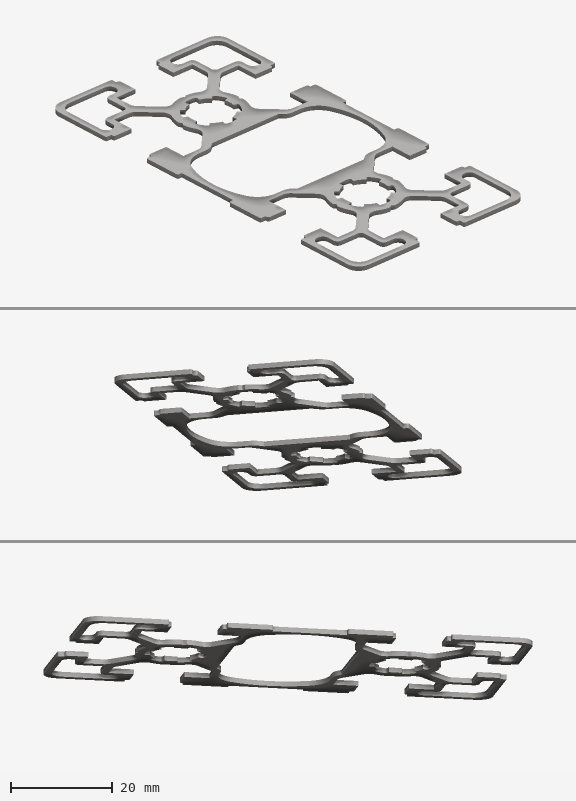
import cadquery as cq
import math

length = 90.0
width = 45.0
thickness = 1.0
outer_corner_radius = 3.0
core_x = 22.5
face = width / 2

lip_half = 5.85
mouth_half = 5.0
lip_step = 1.35
slot_roof = 16.5
slot_half = 10.1
web_offset = 1.7
lip_corner_radius = 0.3
tooth_corner_radius = 0.45
slot_corner_radius = 2.2
flank_root_radius = 2.0

core_radius = 8.0
groove_half = 0.7
groove_depth = 0.45
bore_radius = 6.1
tooth_count = 6
tooth_tip = 5.0
tooth_half_angle = math.radians(15)
bore_corner_radius = 0.4

pocket_outer = 21.1
pocket_arm = 18.0
pocket_inner = 11.6
pocket_tip = 7.6
pocket_outer_radius = 2.7
pocket_tip_radius = 1.4
pocket_arm_radius = 1.1
pocket_inner_radius = 0.9

window_radius = 20.0
window_neck_half = 12.5
window_half = 11.2
window_corner_radius = 5.4
neck_half_height = 8.8
neck_round_radius = 3.5
relief_half = 7.5
relief_depth = 1.1
relief_corner_radius = 0.45


def extrude_outline(points):
    return cq.Workplane("XY").polyline(points).close().extrude(thickness)


def round_corners(body, points, radius):
    """Round the upright edges that stand nearest to the given points."""
    for x, y in points:
        edge = cq.selectors.NearestToPointSelector((x, y, thickness / 2))
        body = body.edges("|Z").edges(edge).fillet(radius)
    return body


def mirror_points(points):
    return points + [(-x, y) for x, y in points]


def make_slot():
    """T-slot void of a core at the origin, open toward +Y."""
    step = face - lip_step
    shoulder = slot_half + web_offset
    right = [
        (lip_half, face),
        (lip_half, step),
        (mouth_half, step),
        (mouth_half, slot_roof),
        (slot_half, slot_roof),
        (slot_half, shoulder),
    ]
    left = [(-x, y) for x, y in reversed(right)]
    slot = extrude_outline(right + [(0, web_offset)] + left)
    slot = slot.cut(cq.Workplane("XY").circle(core_radius).extrude(thickness))

    root_x = (math.sqrt(2 * core_radius**2 - web_offset**2) - web_offset) / 2
    root = (root_x, root_x + web_offset)
    slot = round_corners(slot, mirror_points([root]), flank_root_radius)
    slot = round_corners(slot, mirror_points([(slot_half, shoulder)]), slot_corner_radius)
    slot = round_corners(slot, mirror_points([(mouth_half, step)]), tooth_corner_radius)

    groove = extrude_outline([
        (-groove_half, core_radius),
        (0, core_radius - groove_depth),
        (groove_half, core_radius),
    ])
    return slot.union(groove)


def make_bore():
    """Six-toothed bore void of a core at the origin."""
    bore = cq.Workplane("XY").circle(bore_radius).extrude(thickness)
    edge_reach = 2 * bore_radius
    edge_half = edge_reach * math.tan(tooth_half_angle)
    tooth = extrude_outline([(0, 0), (edge_half, edge_reach), (-edge_half, edge_reach)])
    tooth = tooth.cut(cq.Workplane("XY").circle(tooth_tip).extrude(thickness))
    lobe_corners = []
    for i in range(tooth_count):
        turn = i * 360 / tooth_count
        bore = bore.cut(tooth.rotate((0, 0, 0), (0, 0, 1), turn))
        for side in (-1, 1):
            angle = math.radians(turn + 90) + side * tooth_half_angle
            lobe_corners.append((bore_radius * math.cos(angle), bore_radius * math.sin(angle)))
    return round_corners(bore, lobe_corners, bore_corner_radius)


def make_pocket():
    """L-shaped void in the (-X, +Y) corner of a core at the origin."""
    outer_corner = (-pocket_outer, pocket_outer)
    inner_corner = (-pocket_inner, pocket_inner)
    tips = [
        (-pocket_tip, pocket_outer),
        (-pocket_tip, pocket_arm),
        (-pocket_arm, pocket_tip),
        (-pocket_outer, pocket_tip),
    ]
    arms = [(-pocket_inner, pocket_arm), (-pocket_arm, pocket_inner)]
    pocket = extrude_outline([outer_corner, *tips[:2], arms[0], inner_corner, arms[1], *tips[2:]])
    pocket = round_corners(pocket, [outer_corner], pocket_outer_radius)
    pocket = round_corners(pocket, [inner_corner], pocket_inner_radius)
    pocket = round_corners(pocket, arms, pocket_arm_radius)
    return round_corners(pocket, tips, pocket_tip_radius)


def make_window():
    """Central void: a circle trimmed by straight walls, widened beside the cores."""
    window = cq.Workplane("XY").circle(window_radius).extrude(thickness)
    trim = cq.Workplane("XY").rect(2 * window_half, width).extrude(thickness)
    window = window.intersect(trim)
    wall_top = math.sqrt(window_radius**2 - window_half**2)
    corners = mirror_points([(window_half, wall_top), (window_half, -wall_top)])
    window = round_corners(window, corners, window_corner_radius)

    neck_top = neck_half_height + window_neck_half - window_half
    neck = extrude_outline([
        (window_neck_half, neck_half_height),
        (window_half, neck_top),
        (-window_half, neck_top),
        (-window_neck_half, neck_half_height),
        (-window_neck_half, -neck_half_height),
        (-window_half, -neck_top),
        (window_half, -neck_top),
        (window_neck_half, -neck_half_height),
    ])
    window = window.union(neck)
    shoulders = mirror_points([(window_half, neck_top), (window_half, -neck_top)])
    return round_corners(window, shoulders, neck_round_radius)


slot = make_slot()
slot_below = slot.mirror("XZ")
slot_beside = slot.rotate((0, 0, 0), (0, 0, 1), 90)
pocket = make_pocket()
core_voids = [slot, slot_below, slot_beside, pocket, pocket.mirror("XZ"), make_bore()]

plate = cq.Workplane("XY").rect(length, width).extrude(thickness)
plate = plate.edges("|Z").fillet(outer_corner_radius)
for void in core_voids:
    left_void = void.translate((-core_x, 0, 0))
    plate = plate.cut(left_void).cut(left_void.mirror("YZ"))
plate = plate.cut(make_window())

for side in (-1, 1):
    relief = cq.Workplane("XY").rect(2 * relief_half, 2 * relief_depth).extrude(thickness)
    plate = plate.cut(relief.translate((0, side * face, 0)))

relief_corners = mirror_points([(relief_half, face), (relief_half, -face)])
plate = round_corners(plate, relief_corners, relief_corner_radius)
lip_corners = [(core_x + i * lip_half, j * face) for i in (-1, 1) for j in (-1, 1)]
lip_corners += [(length / 2, lip_half), (length / 2, -lip_half)]
result = round_corners(plate, mirror_points(lip_corners), lip_corner_radius)